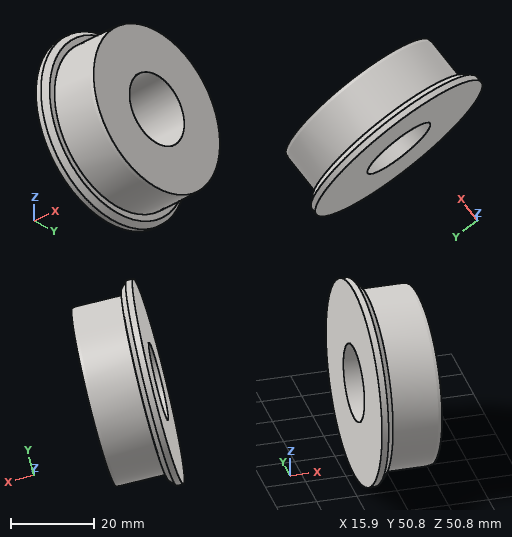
import cadquery as cq

total_length = 15.9
flange_radius = 25.4
body_radius = 22.2
bore_radius = 9.55

flange_width = 3.15
flange_bevel = 1.45

lead_in_length = 0.95
lead_in_depth = 0.15

half_section = (
    cq.Workplane("XY")
    .moveTo(0, bore_radius)
    .lineTo(0, flange_radius)
    .lineTo(flange_width - flange_bevel, flange_radius)
    .lineTo(flange_width, flange_radius - flange_bevel)
    .lineTo(flange_width, body_radius)
    .lineTo(total_length - lead_in_length, body_radius)
    .lineTo(total_length, body_radius - lead_in_depth)
    .lineTo(total_length, bore_radius)
    .close()
)

result = half_section.revolve(360, (0, 0, 0), (1, 0, 0))